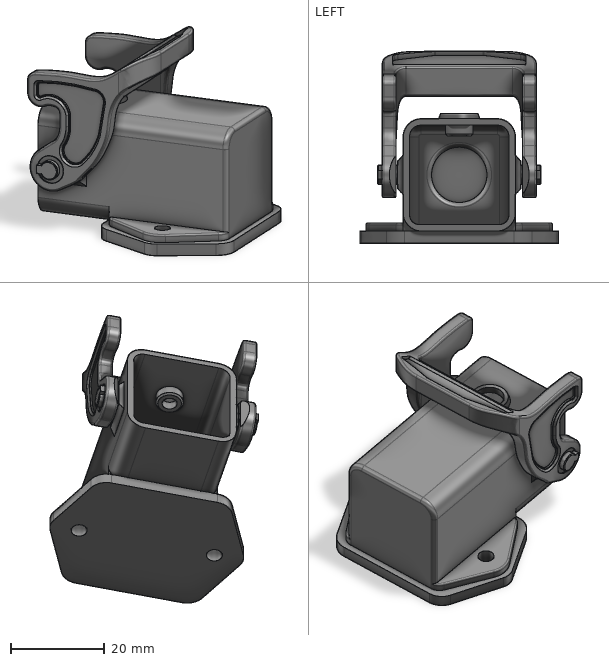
import cadquery as cq
import math


FLANGE_HALF_X = 15.42
FLANGE_HALF_Y = 21.385
FLANGE_THICK = 2.64
FLANGE_SLOPE = 25.2
FLANGE_TIP_R = 3.5
FLANGE_CORNER_R = 4.3

STEP_HALF_X = 13.95
STEP_HALF_Y = 20.1
STEP_TOP = 4.38
STEP_SLOPE = 30.5
STEP_TIP_R = 5.2
STEP_CORNER_R = 2.86
STEP_EDGE_R = 0.4

MOUNT_HOLE_Y = 15.0
MOUNT_HOLE_D = 3.4

BODY_FRONT = -30.7
BODY_REAR = STEP_HALF_X
BODY_SIZE = 24.17
BODY_CORNER_R = 4.0
BODY_REAR_R = 1.0
BODY_MID_Z = FLANGE_THICK + BODY_SIZE / 2
BODY_TOP = FLANGE_THICK + BODY_SIZE
BODY_HALF_Y = BODY_SIZE / 2

WALL = 1.4
CAVITY_SIZE = BODY_SIZE - 2 * WALL
CAVITY_TOP_R = 2.5
CAVITY_FLOOR_R = 2.1
CAVITY_REAR_R = 2.0
REAR_WALL = 2.4
CAVITY_REAR = BODY_REAR - REAR_WALL

RECESS_D = 11.9
RECESS_RIM_R = 1.0
RECESS_DEPTH = 1.2

BOSS_X = -19.9
BOSS_D = 8.95
BOSS_TOP_D = 8.05
BOSS_HEIGHT = 1.14
SEAT_D = 6.27
SEAT_DEPTH = 1.55
SCREW_D = 3.2
SEAT_CONE_DEPTH = 1.2
INNER_BOSS_D = 5.9
INNER_BOSS_HANG = 2.3
INNER_BOSS_CHAMFER = 0.4

PIVOT_X = -25.75
PIVOT_Z = BODY_MID_Z
KNUCKLE_R = 4.92
NECK_SLOPE = 34.8
BACK_SLOPE = 27.3
LEVER_HALF_Y = 16.58
LEVER_INNER_Y = 13.57
HOOK_X = -31.26
HANDLE_TIP_X = -3.78
LEVER_TOP = 41.32
LEVER_EDGE_R = 0.45

BAR_INNER_X = -11.27
BAR_INNER_R = 2.1
BAR_FLAT_HALF_Y = 7.3

PANEL_DEPTH = 0.8
PANEL_RIM = 0.45
PANEL_RIM_ANGLE = 45
PANEL_WALL_ANGLE = 20
POCKET_CORNER_R = 0.6
BEVEL_DEPTH = 1.45
BEVEL_LENGTH = 2.3
BEVEL_HEIGHT = 10.0

LUG_TIP_Y = 13.25
LUG_FRONT = -27.75
LUG_REAR = -19.2
LUG_HEIGHT = 8.4
LUG_SLOPE = 1.25
PIN_D = 4.15
PIN_END_Y = 17.55
PIN_CHAMFER = 0.2
PIN_KEY_WIDTH = 1.85
PIN_KEY_REACH = 2.8
PIN_RING_D = 6.1
PIN_RING_DEPTH = 0.3


def hexagon(half_x, half_y, slope, tip_r, corner_r, thick):
    """Six-sided plate with two rounded tips on Y and four rounded corners."""
    angle = math.radians(slope)
    apex_y = half_y + tip_r * (1 / math.cos(angle) - 1)
    side_y = apex_y - half_x * math.tan(angle)
    points = [
        (half_x, -side_y),
        (half_x, side_y),
        (0, apex_y),
        (-half_x, side_y),
        (-half_x, -side_y),
        (0, -apex_y),
    ]
    plate = cq.Workplane("XY").polyline(points).close().extrude(thick)
    plate = plate.edges("|Z and (>Y or <Y)").fillet(tip_r)
    margin = 0.1
    corners = cq.selectors.BoxSelector(
        (-half_x - margin, -side_y - margin, -margin),
        (half_x + margin, side_y + margin, thick + margin),
        boundingbox=True,
    )
    return plate.edges(corners).edges("|Z").fillet(corner_r)


def make_base():
    flange = hexagon(
        FLANGE_HALF_X, FLANGE_HALF_Y, FLANGE_SLOPE, FLANGE_TIP_R, FLANGE_CORNER_R, FLANGE_THICK
    )
    step = hexagon(STEP_HALF_X, STEP_HALF_Y, STEP_SLOPE, STEP_TIP_R, STEP_CORNER_R, STEP_TOP)
    step = step.faces(">Z").edges().fillet(STEP_EDGE_R)
    return flange.union(step)


def cut_mount_holes(part):
    holes = (
        cq.Workplane("XY")
        .pushPoints([(0, MOUNT_HOLE_Y), (0, -MOUNT_HOLE_Y)])
        .circle(MOUNT_HOLE_D / 2)
        .extrude(STEP_TOP)
    )
    return part.cut(holes)


def square_prism(x_start, x_end, size):
    """Square bar along X, centred on the hood axis."""
    return (
        cq.Workplane("YZ", origin=(x_start, 0, BODY_MID_Z))
        .rect(size, size)
        .extrude(x_end - x_start)
    )


def make_body():
    front = square_prism(BODY_FRONT, -STEP_HALF_X, BODY_SIZE).edges("|X").fillet(BODY_CORNER_R)
    rear = square_prism(-STEP_HALF_X, BODY_REAR, BODY_SIZE)
    rear = rear.edges("|X and >Z").fillet(BODY_CORNER_R)
    rear = rear.faces(">X").edges("not <Z").fillet(BODY_REAR_R)
    return front.union(rear)


def knockout_recess():
    """Blind round recess in the rear wall, with a rounded rim."""
    radius = RECESS_D / 2
    rim_mid = RECESS_RIM_R * (1 - math.sqrt(0.5))
    return (
        cq.Workplane("XY", origin=(CAVITY_REAR, 0, BODY_MID_Z))
        .moveTo(0, 0)
        .lineTo(0, radius + RECESS_RIM_R)
        .threePointArc((rim_mid, radius + rim_mid), (RECESS_RIM_R, radius))
        .lineTo(RECESS_DEPTH, radius)
        .lineTo(RECESS_DEPTH, 0)
        .close()
        .revolve(360, (0, 0, 0), (1, 0, 0))
    )


def cut_cavity(part):
    """Rounded square cavity; its rear edges are rounded at the roof and sides, sharp at the floor."""
    arched = square_prism(BODY_FRONT, CAVITY_REAR, CAVITY_SIZE).edges("|X and >Z").fillet(CAVITY_TOP_R)
    round_floor = arched.edges("|X and <Z").fillet(CAVITY_FLOOR_R)
    round_rear = arched.faces(">X").edges("not <Z").fillet(CAVITY_REAR_R)
    return part.cut(round_floor.intersect(round_rear)).cut(knockout_recess())


def add_screw_boss(part):
    roof = cq.Workplane("XY", origin=(BOSS_X, 0, BODY_TOP))
    collar = (
        roof.circle(BOSS_D / 2).workplane(offset=BOSS_HEIGHT).circle(BOSS_TOP_D / 2).loft()
    )
    inner_boss = (
        roof.circle(INNER_BOSS_D / 2)
        .extrude(-WALL - INNER_BOSS_HANG)
        .faces("<Z")
        .chamfer(INNER_BOSS_CHAMFER)
    )
    boss_top = BODY_TOP + BOSS_HEIGHT
    seat_z = boss_top - SEAT_DEPTH
    cone_end_z = seat_z - SEAT_CONE_DEPTH
    bore_end_z = BODY_TOP - WALL - INNER_BOSS_HANG
    bore_profile = [
        (0, boss_top),
        (SEAT_D / 2, boss_top),
        (SEAT_D / 2, seat_z),
        (SCREW_D / 2, cone_end_z),
        (SCREW_D / 2, bore_end_z),
        (0, bore_end_z),
    ]
    bore = (
        cq.Workplane("XZ", origin=(BOSS_X, 0, 0))
        .polyline(bore_profile)
        .close()
        .revolve(360, (0, 0, 0), (0, 1, 0))
    )
    return part.union(collar).union(inner_boss).cut(bore)


def knuckle_point(slope, side):
    """Point on the knuckle circle where a tangent of the given slope in degrees touches it."""
    angle = math.radians(slope)
    return (
        PIVOT_X - side * KNUCKLE_R * math.sin(angle),
        PIVOT_Z + side * KNUCKLE_R * math.cos(angle),
    )


def heading(degrees):
    """Unit direction in a sketch plane."""
    angle = math.radians(degrees)
    return (math.cos(angle), math.sin(angle))


def lever_outline():
    """Closed side outline of the lever in the XZ plane; all joints but the handle tip are smooth."""
    up = heading(90)
    neck_start = knuckle_point(NECK_SLOPE, 1)
    back_end = knuckle_point(BACK_SLOPE, -1)
    neck_end_x = -25.35
    neck_end = (
        neck_end_x,
        neck_start[1] + (neck_end_x - neck_start[0]) * math.tan(math.radians(NECK_SLOPE)),
    )
    hook_r = 3.0
    hook_centre = (HOOK_X + hook_r, 31.45)
    hook_start_angle = -65
    hook_middle_angle = -120
    crown_slope = 8
    tip_slope_top = 2
    tip_slope_under = 20
    hook_start = tuple(c + hook_r * h for c, h in zip(hook_centre, heading(hook_start_angle)))
    hook_middle = tuple(c + hook_r * h for c, h in zip(hook_centre, heading(hook_middle_angle)))
    notch_x = -23.65
    return (
        cq.Workplane("XZ", origin=(0, LEVER_HALF_Y, 0))
        .moveTo(HANDLE_TIP_X, 36.8)
        .spline(
            [
                (-8.6, 34.2),
                (-11.5, 28.9),
                (-12.1, 24.4),
                (-13.75, 19.9),
                (-16.2, 16.1),
                (-18.85, 13.3),
                back_end,
            ],
            tangents=[heading(180 + tip_slope_under), heading(180 + BACK_SLOPE)],
            includeCurrent=True,
        )
        .threePointArc((PIVOT_X - KNUCKLE_R, PIVOT_Z), neck_start)
        .lineTo(*neck_end)
        .spline([(notch_x, 24.8)], tangents=[heading(NECK_SLOPE), up], includeCurrent=True)
        .lineTo(notch_x, 27.3)
        .spline(
            [(-25.3, 28.95), hook_start],
            tangents=[up, heading(hook_start_angle - 90)],
            includeCurrent=True,
        )
        .threePointArc(hook_middle, (HOOK_X, hook_centre[1]))
        .lineTo(HOOK_X, 34.05)
        .spline([(-29.4, 35.98)], tangents=[up, heading(crown_slope)], includeCurrent=True)
        .spline(
            [
                (-26.3, 36.25),
                (-22.0, 36.38),
                (-17.5, 36.15),
                (-13.97, 36.5),
                (-9.85, 38.85),
                (-6.8, 40.7),
                (HANDLE_TIP_X, LEVER_TOP),
            ],
            tangents=[heading(crown_slope), heading(tip_slope_top)],
            includeCurrent=True,
        )
        .close()
    )


def lever_plan():
    """U-shaped plan of the lever: two arms joined by a bowed handle bar."""
    half = LEVER_HALF_Y
    shoulder_x = -9.6
    outer = (
        cq.Workplane("XY")
        .moveTo(HOOK_X, -half)
        .lineTo(shoulder_x, -half)
        .spline(
            [(-6.5, -14.6), (HANDLE_TIP_X, -BAR_FLAT_HALF_Y)],
            tangents=[heading(0), heading(90)],
            includeCurrent=True,
        )
        .lineTo(HANDLE_TIP_X, BAR_FLAT_HALF_Y)
        .spline(
            [(-6.5, 14.6), (shoulder_x, half)],
            tangents=[heading(90), heading(180)],
            includeCurrent=True,
        )
        .lineTo(HOOK_X, half)
        .close()
        .extrude(LEVER_TOP)
    )
    gap_length = BAR_INNER_X - HOOK_X
    gap = (
        cq.Workplane("XY", origin=(HOOK_X + gap_length / 2, 0, 0))
        .rect(gap_length, 2 * LEVER_INNER_Y)
        .extrude(LEVER_TOP)
        .edges("|Z and >X")
        .fillet(BAR_INNER_R)
    )
    return outer.cut(gap)


def panel_outline():
    """Rim of the sunk panel, on the outer face of the -Y arm."""
    return (
        cq.Workplane("XZ", origin=(0, -LEVER_HALF_Y, 0))
        .moveTo(-29.6, 33.2)
        .lineTo(-29.6, 30.9)
        .threePointArc((-29.0, 30.1), (-28.05, 30.0))
        .threePointArc((-23.4, 29.7), (-22.05, 27.3))
        .lineTo(-22.05, 24.8)
        .threePointArc((-22.35, 22.6), (-23.3, 20.6))
        .threePointArc((-22.4, 16.7), (-18.4, 16.6))
        .threePointArc((-15.8, 19.7), (-14.0, 23.6))
        .lineTo(-12.85, 30.6)
        .threePointArc((-13.4, 33.1), (-15.7, 34.15))
        .threePointArc((-22.0, 34.72), (-28.4, 34.4))
        .threePointArc((-29.25, 34.05), (-29.6, 33.2))
        .close()
    )


def arm_panel():
    """Sunk panel on the -Y arm: a 45 degree rim above a steeper wall."""
    rim = panel_outline().extrude(-PANEL_RIM, taper=PANEL_RIM_ANGLE)
    floor = panel_outline().offset2D(-PANEL_RIM).extrude(-PANEL_DEPTH, taper=PANEL_WALL_ANGLE)
    return rim.union(floor)


def handle_pocket():
    """Sunk flat on top of the handle bar, behind a short sloped wall."""
    wall_x, wall_z = -10.6, 38.5
    floor_back_x, floor_back_z = -9.85, 38.1
    floor_front_x, floor_front_z = -4.95, 40.4
    half_y = 14.3
    flat_half_y = 5.2
    shoulder_x, shoulder_y = -6.95, 13.2
    end_x = -7.35
    above = LEVER_TOP + 1
    plan = [
        (wall_x, -half_y),
        (end_x, -half_y),
        (shoulder_x, -shoulder_y),
        (floor_front_x, -flat_half_y),
        (floor_front_x, flat_half_y),
        (shoulder_x, shoulder_y),
        (end_x, half_y),
        (wall_x, half_y),
    ]
    plan_prism = (
        cq.Workplane("XY").polyline(plan).close().extrude(above).edges("|Z").fillet(POCKET_CORNER_R)
    )
    above_floor = (
        cq.Workplane("XZ", origin=(0, LEVER_HALF_Y, 0))
        .moveTo(wall_x, wall_z)
        .lineTo(floor_back_x, floor_back_z)
        .lineTo(floor_front_x, floor_front_z)
        .lineTo(floor_front_x, above)
        .lineTo(wall_x, above)
        .close()
        .extrude(2 * LEVER_HALF_Y)
    )
    return plan_prism.intersect(above_floor)


def knuckle_bevel():
    """Wedge that bevels the inside front of the -Y knuckle."""
    tip_x = PIVOT_X - KNUCKLE_R
    return (
        cq.Workplane("XY", origin=(0, 0, PIVOT_Z - BEVEL_HEIGHT / 2))
        .moveTo(tip_x, -LEVER_INNER_Y)
        .lineTo(tip_x + BEVEL_LENGTH, -LEVER_INNER_Y)
        .lineTo(tip_x, -LEVER_INNER_Y - BEVEL_DEPTH)
        .close()
        .extrude(BEVEL_HEIGHT)
    )


def pin_ring():
    """Shallow round recess around the pin on the -Y arm."""
    return (
        cq.Workplane("XZ", origin=(PIVOT_X, -LEVER_HALF_Y, PIVOT_Z))
        .circle(PIN_RING_D / 2)
        .extrude(-PIN_RING_DEPTH)
    )


def make_lever():
    lever = lever_outline().extrude(2 * LEVER_HALF_Y).intersect(lever_plan())
    lever = lever.edges().fillet(LEVER_EDGE_R)
    lever = lever.cut(handle_pocket())
    for side_cut in (arm_panel(), knuckle_bevel(), pin_ring()):
        lever = lever.cut(side_cut).cut(side_cut.mirror("XZ"))
    return lever


def make_pivot():
    """Lug and keyed pin on the -Y side."""
    lug_reach = LUG_TIP_Y - BODY_HALF_Y
    root_half_z = LUG_HEIGHT / 2
    tip_half_z = root_half_z - LUG_SLOPE
    lug = (
        cq.Workplane("XZ", origin=(0, -BODY_HALF_Y, PIVOT_Z))
        .moveTo(LUG_FRONT, -root_half_z)
        .lineTo(LUG_REAR, -root_half_z)
        .lineTo(LUG_REAR, root_half_z)
        .lineTo(LUG_FRONT, root_half_z)
        .close()
        .workplane(offset=lug_reach)
        .moveTo(LUG_FRONT, -tip_half_z)
        .lineTo(LUG_REAR - LUG_SLOPE, -tip_half_z)
        .lineTo(LUG_REAR - LUG_SLOPE, tip_half_z)
        .lineTo(LUG_FRONT, tip_half_z)
        .close()
        .loft(ruled=True)
    )
    pin = (
        cq.Workplane("XZ", origin=(PIVOT_X, -LUG_TIP_Y, PIVOT_Z))
        .circle(PIN_D / 2)
        .extrude(PIN_END_Y - LUG_TIP_Y)
    )
    pin = pin.faces("<Y").chamfer(PIN_CHAMFER)
    key_start_y = LEVER_HALF_Y - PIN_RING_DEPTH
    key = (
        cq.Workplane("XZ", origin=(PIVOT_X - PIN_KEY_REACH / 2, -key_start_y, PIVOT_Z))
        .rect(PIN_KEY_REACH, PIN_KEY_WIDTH)
        .extrude(PIN_END_Y - key_start_y)
    )
    return lug.union(pin).union(key)


part = cut_mount_holes(make_base().union(make_body()))
part = cut_cavity(part)
part = add_screw_boss(part)
pivot = make_pivot()
result = part.union(make_lever()).union(pivot).union(pivot.mirror("XZ"))